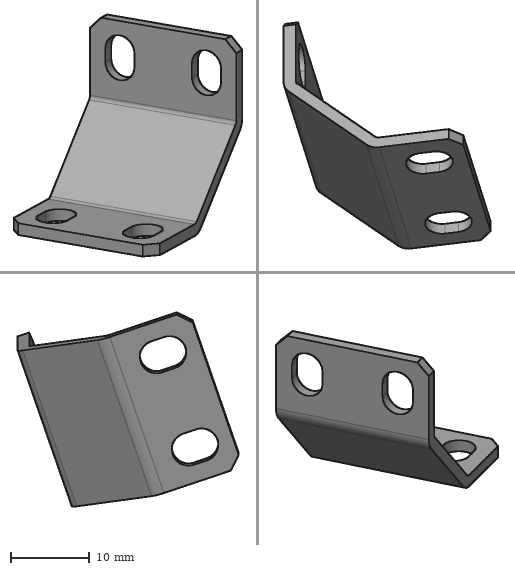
import cadquery as cq
import math

width = 21.45
reach = 23.1
thickness = 1.6
inner_radius = 0.76
flange_length = 10.65
corner_chamfer = 1.62
slot_width = 4.25
slot_length = 6.0
slot_spacing = 12.69
slot_edge_distance = 4.95

outer_radius = inner_radius + thickness
bend_centre_z = outer_radius
bend_angle = math.radians(45)


def bend_point(radius, angle):
    """Point (y, z) on the lower bend, turned by angle from the flange."""
    y = flange_length + radius * math.sin(angle)
    z = bend_centre_z - radius * math.cos(angle)
    return (y, z)


def mirrored(point):
    """Reflect a (y, z) point from the lower half to the upper half."""
    y, z = point
    return (reach - z, reach - y)


def arc_points(radius):
    """Start, middle and end of the lower bend at the given radius."""
    return [bend_point(radius, bend_angle * share) for share in (0, 0.5, 1)]


def bent_strip():
    outer_start, outer_middle, outer_end = arc_points(outer_radius)
    inner_start, inner_middle, inner_end = arc_points(inner_radius)
    return (
        cq.Workplane("YZ", origin=(-width / 2, 0, 0))
        .moveTo(0, 0)
        .lineTo(*outer_start)
        .threePointArc(outer_middle, outer_end)
        .lineTo(*mirrored(outer_end))
        .threePointArc(mirrored(outer_middle), mirrored(outer_start))
        .lineTo(reach, reach)
        .lineTo(reach - thickness, reach)
        .lineTo(*mirrored(inner_start))
        .threePointArc(mirrored(inner_middle), mirrored(inner_end))
        .lineTo(*inner_end)
        .threePointArc(inner_middle, inner_start)
        .lineTo(0, thickness)
        .close()
        .extrude(width)
    )


def slot_pair(plane, centre):
    """Two slots through a flange, long along the flange's length."""
    return (
        cq.Workplane(plane, origin=centre)
        .pushPoints([(-slot_spacing / 2, 0), (slot_spacing / 2, 0)])
        .slot2D(slot_length, slot_width, 90)
        .extrude(thickness, both=True)
    )


bracket = bent_strip()

bracket = bracket.faces("<Y").edges("|Z").chamfer(corner_chamfer)
bracket = bracket.faces(">Z").edges("|Y").chamfer(corner_chamfer)

bracket = bracket.cut(slot_pair("XY", (0, slot_edge_distance, 0)))
result = bracket.cut(slot_pair("XZ", (0, reach, reach - slot_edge_distance)))